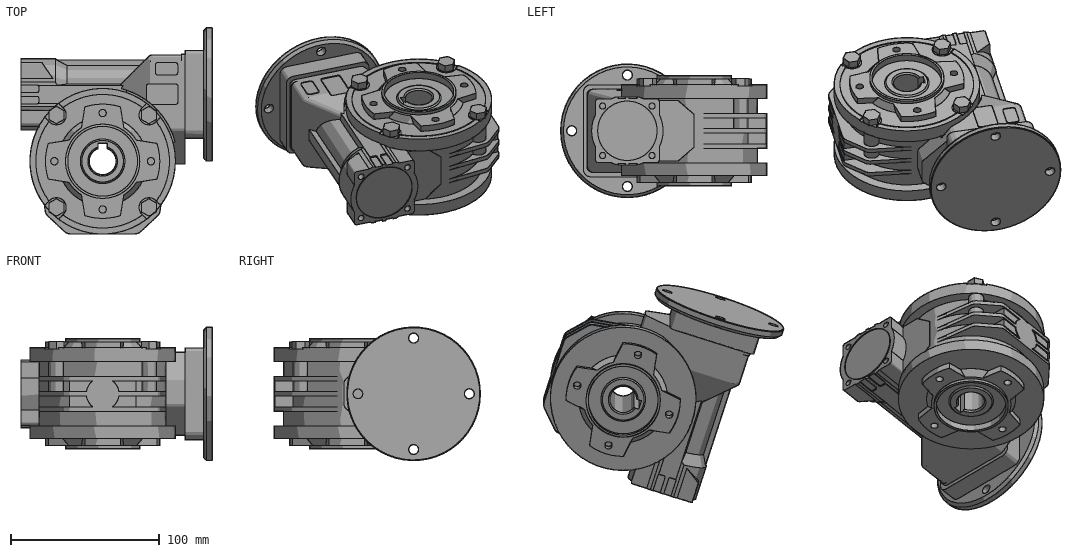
import cadquery as cq
import math

WORM_Y = 45.0

COVER_R = 49.0
COVER_JOINT_Z = 21.6
COVER_TOP_Z = 31.1
COVER_BOTTOM_Z = -30.2
RIM_INNER_R = 45.0
RIM_HEIGHT = 0.6

PAD_Z = 34.95
PAD_TIP_R = 38.5
PAD_TIP_HALF = 12.0
PAD_ROOT_HALF = 14.5
PAD_ROOT_R = 21.0
PAD_HOLE_D = 4.92
PAD_HOLE_R = 32.5
PAD_HOLE_DEPTH = 10.0
CONE_BASE_R = 30.0
CONE_TOP_R = 26.8
RING_R = 25.0
RING_Z = 37.1
RECESS_R = 23.5
RECESS_DEPTH = 5.0

BOLT_CIRCLE_R = 44.0
BOLT_FLATS = 10.2
BOLT_TOP_Z = 35.3
SPOT_R = 6.6
SPOT_DEPTH = 0.8
COLUMN_R = 5.2

DRUM_R = 42.7
FIN_T = 3.0
FIN_PITCH = 10.25
FRONT_Y = -49.0
FIN_FLAT_HALF = 24.0
FIN_SHOULDER_X = 38.5
FIN_SHOULDER_Y = -35.4
FIN_START_Y = -6.5
FIN_CORNER_R = 6.0
WEB_HALF = 22.4
WEB_Y = -48.4
MEDALLION_R = 11.0

WALL_X = -42.8
WALL_TOP = 20.4
WALL_KNEE_Y = 10.9
WALL_LOW_HALF = 11.0

TUBE_END_X = -55.0
TUBE_R = 24.05
TUBE_FLAT_Z = 22.6
TUBE_CONE_X = -31.8
NECK_X = -24.0
NECK_R = 20.0
SQUARE = 43.0
SQUARE_FILLET = 2.0
SQUARE_CUT_OUTER_X = -41.0
SQUARE_CUT_INNER_X = -33.3
SQUARE_CUT_INNER_Y = 10.4
RIDGE_TOP_Z = 22.9
RIDGE_TOP_HALF = 6.0
RIDGE_BASE_HALF = 11.6
RIDGE_END_X = 16.0
CAP_R = 20.0
CAP_RECESS = 0.6
END_HOLE_D = 4.13
END_HOLE_OFFSET = 16.65
END_HOLE_DEPTH = 10.0
GRIP_LENGTH = 12.0
GRIP_WIDTH = 5.1
GRIP_OFFSET = 3.8
GRIP_DEPTH = 1.0
GRIP_CORNER_R = 1.2
RIB_HALF_T = 4.4
RIB_Y = 68.2

BOX_END_X = 55.5
BOX_HALF_Z = 28.0
BOX_Y = 71.7
BOX_CORNER_X = 32.1
BOX_SLOPE_LOW_X = 11.0
BOX_FILLET = 3.8
NOSE_Y = -1.9
NOSE_HALF = 8.8
NOSE_SHOULDER_Y = 20.3
NOSE_FILLET = 4.0
LIP_X = 53.2
LIP_Y = 72.2
COVER_CLEARANCE_R = 50.5
PLATE_POCKET = (29.5, 50.7, 38.3, 52.0)
PLATE_POCKET_DEPTH = 0.75
PLATE_CORNER_R = 1.5
LABEL_POCKET = (35.5, 50.6, 58.0, 66.6)
LABEL_POCKET_DEPTH = 0.5
LABEL_CORNER_R = 2.0

BLOCK_Y = 59.2
BLOCK_Z = 62.0
BLOCK_CORNER_R = 5.0
DISC_X = 68.0
DISC_END_X = 74.0
DISC_R = 45.0
DISC_CHAMFER = 2.0
DISC_BACK_CHAMFER = 0.5
DISC_HOLE_D = 6.5
DISC_HOLE_R = 37.5

SHAFT_R = 15.0
SHAFT_Z = 33.1
SHAFT_CHAMFER = 1.0
BORE_R = 9.0
BORE_CHAMFER = 1.0
KEY_WIDTH = 6.0
KEY_TOP_Y = 12.0


def worm_plane(x):
    """Plane across the worm axis: local x is Y, local y is Z, extrusions go along +X."""
    return cq.Workplane("YZ", origin=(x, WORM_Y, 0))


def level(z):
    return cq.Workplane("XY", origin=(0, 0, z))


def bolt_points():
    offset = BOLT_CIRCLE_R * math.sqrt(0.5)
    return [(x, y) for x in (-offset, offset) for y in (-offset, offset)]


def pad_set(cover_z):
    """Cone, four mounting pads and centring ring on the top cover, standing on cover_z."""
    height = PAD_Z - cover_z
    pads = (
        level(cover_z)
        .circle(CONE_BASE_R)
        .workplane(offset=height)
        .circle(CONE_TOP_R)
        .loft(ruled=True)
    )
    shoulder = math.sqrt(PAD_TIP_R**2 - PAD_TIP_HALF**2)
    pad = (
        level(cover_z)
        .moveTo(PAD_ROOT_R, -PAD_ROOT_HALF)
        .lineTo(shoulder, -PAD_TIP_HALF)
        .threePointArc((PAD_TIP_R, 0), (shoulder, PAD_TIP_HALF))
        .lineTo(PAD_ROOT_R, PAD_ROOT_HALF)
        .close()
        .extrude(height)
    )
    for i in range(4):
        pads = pads.union(pad.rotate((0, 0, 0), (0, 0, 1), 90 * i))
    return pads.union(level(cover_z).circle(RING_R).extrude(RING_Z - cover_z))


def pad_cutters():
    """Pad holes and the round recess inside the centring ring, at the top cover."""
    holes = (
        level(PAD_Z - PAD_HOLE_DEPTH)
        .polarArray(PAD_HOLE_R, 0, 360, 4)
        .circle(PAD_HOLE_D / 2)
        .extrude(PAD_HOLE_DEPTH)
    )
    return holes.union(level(RING_Z - RECESS_DEPTH).circle(RECESS_R).extrude(RECESS_DEPTH))


def top_cover():
    cover = level(COVER_JOINT_Z).circle(COVER_R).extrude(COVER_TOP_Z - COVER_JOINT_Z)
    face_z = COVER_TOP_Z - RIM_HEIGHT
    cover = cover.cut(level(face_z).circle(RIM_INNER_R).extrude(RIM_HEIGHT))
    spot_z = COVER_TOP_Z - SPOT_DEPTH
    reach = COVER_R - BOLT_CIRCLE_R + SPOT_R
    for i in range(4):
        spot = (
            level(spot_z)
            .center(BOLT_CIRCLE_R, 0)
            .circle(SPOT_R)
            .extrude(SPOT_DEPTH)
        )
        outlet = level(spot_z).center(BOLT_CIRCLE_R + reach / 2, 0).rect(reach, 2 * SPOT_R)
        spot = spot.union(outlet.extrude(SPOT_DEPTH))
        cover = cover.cut(spot.rotate((0, 0, 0), (0, 0, 1), 45 + 90 * i))
    return cover.union(pad_set(face_z)).union(bolt_heads(spot_z))


def bolt_heads(seat_z):
    head = (
        level(seat_z)
        .polygon(6, BOLT_FLATS, circumscribed=True)
        .extrude(BOLT_TOP_Z - seat_z)
    )
    heads = cq.Workplane()
    for x, y in bolt_points():
        heads = heads.add(head.translate((x, y, 0)))
    return heads.combine()


def bottom_cover():
    disc = level(COVER_BOTTOM_Z).circle(COVER_R).extrude(-COVER_JOINT_Z - COVER_BOTTOM_Z)
    return disc.union(pad_set(-COVER_BOTTOM_Z).mirror("XY"))


def fin_outline(plane):
    start_x = math.sqrt(DRUM_R**2 - FIN_START_Y**2)
    return (
        plane.moveTo(-start_x, FIN_START_Y)
        .lineTo(-FIN_SHOULDER_X, FIN_SHOULDER_Y)
        .lineTo(-FIN_FLAT_HALF, FRONT_Y)
        .lineTo(FIN_FLAT_HALF, FRONT_Y)
        .lineTo(FIN_SHOULDER_X, FIN_SHOULDER_Y)
        .lineTo(start_x, FIN_START_Y)
        .close()
    )


def drum():
    body = level(-COVER_JOINT_Z).circle(DRUM_R).extrude(2 * COVER_JOINT_Z)
    for i in (-1, 0, 1):
        fin = fin_outline(level(i * FIN_PITCH - FIN_T / 2)).extrude(FIN_T)
        body = body.union(fin.edges("|Z and (not >X) and (not <X)").fillet(FIN_CORNER_R))
    web_height = 2 * FIN_PITCH
    body = body.union(
        level(-FIN_PITCH).center(0, WEB_Y / 2).rect(2 * WEB_HALF, -WEB_Y).extrude(web_height)
    )
    web_band = level(-FIN_PITCH).circle(DRUM_R - FRONT_Y).extrude(web_height)
    medallion = cq.Workplane("XZ").circle(MEDALLION_R).extrude(-FRONT_Y)
    body = body.union(medallion.intersect(web_band))
    columns = level(FIN_T / 2).pushPoints(bolt_points()).circle(COLUMN_R)
    return body.union(columns.extrude(COVER_JOINT_Z - FIN_T / 2))


def side_wall():
    outline = [
        (WORM_Y, WALL_TOP),
        (WALL_KNEE_Y, WALL_TOP),
        (0, WALL_LOW_HALF),
        (0, -WALL_LOW_HALF),
        (WALL_KNEE_Y, -WALL_TOP),
        (WORM_Y, -WALL_TOP),
    ]
    return cq.Workplane("YZ", origin=(WALL_X, 0, 0)).polyline(outline).close().extrude(-WALL_X)


def square_end():
    """Square flange of the worm tube, ended on its outer side by a slanted cut."""
    half = SQUARE / 2
    block = worm_plane(TUBE_END_X).rect(SQUARE, SQUARE).extrude(-TUBE_END_X)
    block = block.edges("|X").fillet(SQUARE_FILLET)
    plan = [
        (TUBE_END_X, -half),
        (0, -half),
        (0, 0),
        (SQUARE_CUT_INNER_X, 0),
        (SQUARE_CUT_INNER_X, SQUARE_CUT_INNER_Y),
        (SQUARE_CUT_OUTER_X, half),
        (TUBE_END_X, half),
    ]
    slab = level(-half).center(0, WORM_Y).polyline(plan).close().extrude(SQUARE)
    return block.intersect(slab)


def worm_tube():
    tube = worm_plane(TUBE_END_X).circle(TUBE_R).extrude(TUBE_CONE_X - TUBE_END_X)
    cone = worm_plane(TUBE_CONE_X).circle(TUBE_R).workplane(offset=NECK_X - TUBE_CONE_X).circle(NECK_R)
    tube = tube.union(cone.loft(ruled=True))
    tube = tube.union(worm_plane(NECK_X).circle(NECK_R).extrude(BOX_CORNER_X - NECK_X))
    length = BOX_CORNER_X - TUBE_END_X
    tube = tube.intersect(worm_plane(TUBE_END_X).rect(4 * TUBE_R, 2 * TUBE_FLAT_Z).extrude(length))
    tube = tube.union(square_end())
    ridge = (
        worm_plane(TUBE_END_X)
        .moveTo(-RIDGE_BASE_HALF, 0)
        .lineTo(-RIDGE_TOP_HALF, RIDGE_TOP_Z)
        .lineTo(RIDGE_TOP_HALF, RIDGE_TOP_Z)
        .lineTo(RIDGE_BASE_HALF, 0)
        .lineTo(RIDGE_TOP_HALF, -RIDGE_TOP_Z)
        .lineTo(-RIDGE_TOP_HALF, -RIDGE_TOP_Z)
        .close()
        .extrude(RIDGE_END_X - TUBE_END_X)
    )
    rib = (
        level(-RIB_HALF_T)
        .moveTo(TUBE_CONE_X, WORM_Y)
        .lineTo(TUBE_CONE_X, RIB_Y)
        .lineTo(BOX_CORNER_X, RIB_Y)
        .lineTo(BOX_CORNER_X, WORM_Y)
        .close()
        .extrude(2 * RIB_HALF_T)
    )
    return tube.union(ridge).union(rib)


def worm_tube_cutters():
    """End cap recess, screw holes and the shallow grip pockets of the worm tube."""
    cutters = worm_plane(TUBE_END_X).circle(CAP_R).extrude(CAP_RECESS)
    sides = (-END_HOLE_OFFSET, END_HOLE_OFFSET)
    corners = [(y, z) for y in sides for z in sides]
    cutters = cutters.union(
        worm_plane(TUBE_END_X).pushPoints(corners).circle(END_HOLE_D / 2).extrude(END_HOLE_DEPTH)
    )
    for side in (-1, 1):
        pocket = (
            level(RIDGE_TOP_Z - GRIP_DEPTH)
            .center(TUBE_END_X, WORM_Y + side * GRIP_OFFSET)
            .rect(2 * GRIP_LENGTH, GRIP_WIDTH)
            .extrude(2 * GRIP_DEPTH)
            .edges("|Z")
            .fillet(GRIP_CORNER_R)
        )
        cutters = cutters.union(pocket).union(pocket.mirror("XY"))
    return cutters


def rect_pocket(bounds, depth, corner_r):
    x_min, x_max, y_min, y_max = bounds
    return (
        level(BOX_HALF_Z - depth)
        .center((x_min + x_max) / 2, (y_min + y_max) / 2)
        .rect(x_max - x_min, y_max - y_min)
        .extrude(2 * depth)
        .edges("|Z")
        .fillet(corner_r)
    )


def input_box():
    """Box between worm tube and motor flange, with slanted flanks and a sloping nose below."""
    diagonal_y = BOX_Y - BOX_CORNER_X
    plan = [
        (0, NOSE_Y),
        (BOX_END_X, NOSE_Y),
        (BOX_END_X, BOX_Y),
        (BOX_CORNER_X, BOX_Y),
        (0, diagonal_y),
    ]
    box = level(-BOX_HALF_Z).polyline(plan).close().extrude(2 * BOX_HALF_Z)
    elevation = [
        (0, TUBE_FLAT_Z),
        (BOX_SLOPE_LOW_X, TUBE_FLAT_Z),
        (BOX_CORNER_X, BOX_HALF_Z),
        (BOX_END_X, BOX_HALF_Z),
        (BOX_END_X, -BOX_HALF_Z),
        (BOX_CORNER_X, -BOX_HALF_Z),
        (BOX_SLOPE_LOW_X, -TUBE_FLAT_Z),
        (0, -TUBE_FLAT_Z),
    ]
    profile = cq.Workplane("XZ", origin=(0, BOX_Y, 0)).polyline(elevation).close()
    box = box.intersect(profile.extrude(BOX_Y - NOSE_Y))
    edges = [e for e in box.edges().vals() if is_outer_edge(e)]
    box = box.newObject(edges).fillet(BOX_FILLET)
    lip = (
        level(0)
        .center((LIP_X + BOX_END_X) / 2, (WORM_Y + LIP_Y) / 2)
        .box(BOX_END_X - LIP_X, LIP_Y - WORM_Y, 2 * BOX_HALF_Z)
        .edges("|X and >Y")
        .fillet(BOX_FILLET)
    )
    nose = [
        (BOX_Y, BOX_HALF_Z),
        (NOSE_SHOULDER_Y, BOX_HALF_Z),
        (NOSE_Y, NOSE_HALF),
        (NOSE_Y, -NOSE_HALF),
        (NOSE_SHOULDER_Y, -BOX_HALF_Z),
        (BOX_Y, -BOX_HALF_Z),
    ]
    section = cq.Workplane("YZ").polyline(nose).close().extrude(BOX_END_X)
    section = section.edges("|X and (not >Y)").fillet(NOSE_FILLET)
    box = box.intersect(section)
    box = box.cut(level(COVER_JOINT_Z).circle(COVER_CLEARANCE_R).extrude(BOX_HALF_Z))
    box = box.cut(rect_pocket(PLATE_POCKET, PLATE_POCKET_DEPTH, PLATE_CORNER_R))
    box = box.union(lip)
    return box.cut(rect_pocket(LABEL_POCKET, LABEL_POCKET_DEPTH, LABEL_CORNER_R))


def is_outer_edge(edge):
    """True for the edges of the box on its outer side, along +Y and the diagonal flank."""
    tol = 0.01
    start, end = edge.startPoint(), edge.endPoint()
    flank = BOX_Y - BOX_CORNER_X
    on_back = all(abs(p.y - BOX_Y) < tol for p in (start, end))
    on_flank = all(abs(p.y - p.x - flank) < tol for p in (start, end))
    inside = all(p.x < tol for p in (start, end))
    at_end = all(p.x > BOX_END_X - tol for p in (start, end))
    return (on_back or on_flank) and not inside and not at_end


def make_housing():
    body = drum().union(side_wall()).union(worm_tube()).union(input_box())
    body = body.union(top_cover()).union(bottom_cover())
    cutters = pad_cutters()
    body = body.cut(cutters).cut(cutters.mirror("XY")).cut(worm_tube_cutters())
    return body.cut(level(-RING_Z).circle(SHAFT_R).extrude(2 * RING_Z))


def make_motor_flange():
    block = (
        worm_plane(BOX_END_X)
        .rect(BLOCK_Y, BLOCK_Z)
        .extrude(DISC_X - BOX_END_X)
        .edges("|X")
        .fillet(BLOCK_CORNER_R)
    )
    disc = worm_plane(DISC_X).circle(DISC_R).extrude(DISC_END_X - DISC_X)
    disc = disc.faces("<X").chamfer(DISC_CHAMFER).faces(">X").chamfer(DISC_BACK_CHAMFER)
    holes = (
        worm_plane(DISC_X)
        .polarArray(DISC_HOLE_R, 0, 360, 4)
        .circle(DISC_HOLE_D / 2)
        .extrude(DISC_END_X - DISC_X)
    )
    return block.union(disc).cut(holes)


def make_output_shaft():
    length = 2 * SHAFT_Z
    shaft = level(-SHAFT_Z).circle(SHAFT_R).extrude(length).faces("<Z or >Z").chamfer(SHAFT_CHAMFER)
    bore = level(-SHAFT_Z).circle(BORE_R).extrude(length)
    shaft = shaft.cut(bore).edges("%CIRCLE and (<Z or >Z)").edges(cq.selectors.RadiusNthSelector(0))
    shaft = shaft.chamfer(BORE_CHAMFER)
    keyway = level(-SHAFT_Z).center(0, KEY_TOP_Y / 2).rect(KEY_WIDTH, KEY_TOP_Y).extrude(length)
    return shaft.cut(keyway)


housing = make_housing()
motor_flange = make_motor_flange()
output_shaft = make_output_shaft()

result = cq.Compound.makeCompound([housing.val(), motor_flange.val(), output_shaft.val()])